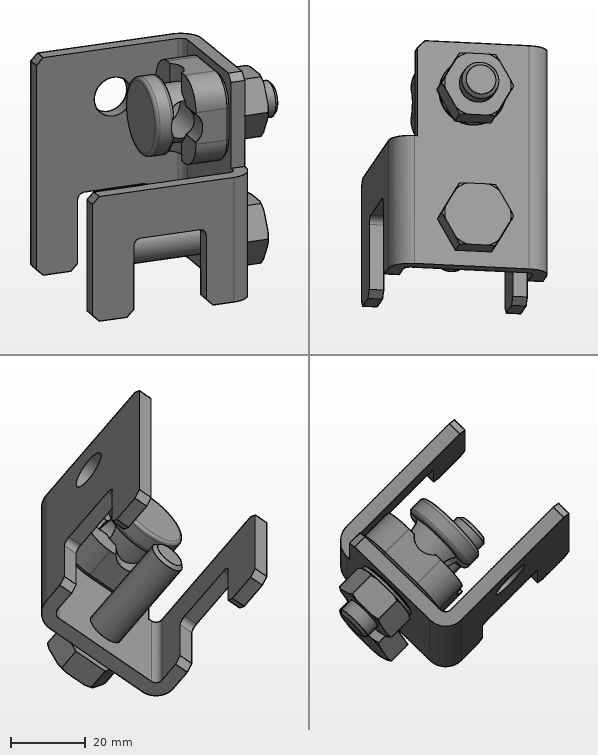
import cadquery as cq
import math

WIDTH = 43.0
HEIGHT = 62.0
DEPTH = 47.0
SHEET = 3.95
INNER_BEND = 2.0
OUTER_BEND = INNER_BEND + SHEET
SHORT_ARM_HEIGHT = 35.5
BACK_EDGE_X = 14.7
CORNER_CHAMFER = 2.0
SLOT_BACK = -14.0
SLOT_WIDTH = 21.0
SLOT_MIDDLE = SLOT_BACK - SLOT_WIDTH / 2
SLOT_HEIGHT = 22.0
SLOT_RADIUS = 2.0
ARM_HOLE_DIAMETER = 11.0
ARM_HOLE_Y = -24.7

SHANK_DIAMETER = 10.05
SHANK_TIP_CHAMFER = 1.0
HEX_SIDES = 6
HEX_FLATS = 17.0
HEX_FACE_DIAMETER = 18.0
HEX_BEVEL_ANGLE = 30.0
HEX_REAR = 9.25

CLAMP_Z = 48.05
SCREW_Z = 11.95

SCREW_HEAD_FRONT = 2.55
SCREW_TIP = -32.25

WASHER_DIAMETER = 18.0
COLLAR_DIAMETER = 16.1
WASHER_BACK = 1.3
COLLAR_DEPTH = 0.4

BLOCK_WIDTH = 28.0
BLOCK_HEIGHT = 25.0
BLOCK_DEPTH = 9.9
BLOCK_RADIUS = 8.0
BLOCK_BACK_CHAMFER = 0.9
GROOVE_RADIUS = 5.0
GROOVE_DEPTH = 2.0
BLOCK_FRONT = -SHEET - BLOCK_DEPTH

BOLT_REAR = 14.0
HEAD_DIAMETER = 21.7
HEAD_FRONT = -24.0
HEAD_THICKNESS = 5.5
HEAD_FILLET = 1.0
HEAD_BACK = HEAD_FRONT + HEAD_THICKNESS
NECK_DIAMETER = 16.25
CROSS_HOLE_DIAMETER = 10.55
CROSS_HOLE_Y = -14.45


def cylinder_y(diameter, y_front, y_back, z):
    """Cylinder along Y."""
    return cq.Workplane("XZ", origin=(0, y_back, z)).circle(diameter / 2).extrude(y_back - y_front)


def cylinder_x(diameter, length, y, z):
    """Cylinder along X, centred on X = 0."""
    return cq.Workplane("YZ", origin=(-length / 2, y, z)).circle(diameter / 2).extrude(length)


def hex_y(y_front, y_back, z):
    """Hexagonal prism along Y, corners toward +X and -X."""
    corner_diameter = HEX_FLATS / math.cos(math.pi / HEX_SIDES)
    outline = cq.Workplane("XZ", origin=(0, y_back, z)).polygon(HEX_SIDES, corner_diameter)
    return outline.extrude(y_back - y_front)


def turned(profile, z):
    """Solid turned about the Y axis through (0, 0, z) from (radius, y) points."""
    return cq.Workplane("XY", origin=(0, 0, z)).polyline(profile).close().revolve(360, (0, 0, 0), (0, 1, 0))


def bevelled_hex(y_front, y_back, z, bevel_front):
    """Hexagonal prism whose corners are turned off by a cone at the back and, if asked, at the front."""
    length = y_back - y_front
    face = HEX_FACE_DIAMETER / 2
    cone_radius = face + length / math.tan(math.radians(HEX_BEVEL_ANGLE))
    back_cone = [(0, y_back), (face, y_back), (cone_radius, y_front), (0, y_front)]
    prism = hex_y(y_front, y_back, z).intersect(turned(back_cone, z))
    if bevel_front:
        front_cone = [(0, y_front), (face, y_front), (cone_radius, y_back), (0, y_back)]
        prism = prism.intersect(turned(front_cone, z))
    return prism


def slot_in_arms():
    """Slot open at the bottom of both arms, with chamfered mouth corners and rounded upper corners."""
    slot = (
        cq.Workplane("YZ", origin=(-WIDTH / 2, SLOT_MIDDLE, 0))
        .rect(SLOT_WIDTH, 2 * SLOT_HEIGHT)
        .extrude(WIDTH)
        .edges("|X and >Z")
        .fillet(SLOT_RADIUS)
    )
    mouth = (
        cq.Workplane("YZ", origin=(-WIDTH / 2, SLOT_MIDDLE, 0))
        .moveTo(-SLOT_WIDTH / 2 - CORNER_CHAMFER, 0)
        .lineTo(SLOT_WIDTH / 2 + CORNER_CHAMFER, 0)
        .lineTo(0, SLOT_WIDTH / 2 + CORNER_CHAMFER)
        .close()
        .extrude(WIDTH)
    )
    return slot.union(mouth)


def u_block(width, y_back, bend_radius):
    """Upright block reaching from y_back to the front of the arms, its rear corners rounded."""
    depth = y_back + DEPTH
    return (
        cq.Workplane("XY", origin=(0, y_back - depth / 2, 0))
        .rect(width, depth)
        .extrude(HEIGHT)
        .edges("|Z and >Y")
        .fillet(bend_radius)
    )


def upper_right_cutout():
    """Space above the short arm, leaving a chamfered top corner on the back plate."""
    return (
        cq.Workplane("XZ")
        .moveTo(WIDTH, SHORT_ARM_HEIGHT)
        .lineTo(BACK_EDGE_X, SHORT_ARM_HEIGHT)
        .lineTo(BACK_EDGE_X, HEIGHT - CORNER_CHAMFER)
        .lineTo(BACK_EDGE_X - CORNER_CHAMFER, HEIGHT)
        .lineTo(WIDTH, HEIGHT)
        .close()
        .extrude(DEPTH)
    )


def make_bracket():
    outside = u_block(WIDTH, 0, OUTER_BEND)
    inside = u_block(WIDTH - 2 * SHEET, -SHEET, INNER_BEND)
    bracket = outside.cut(inside).cut(upper_right_cutout())
    bracket = bracket.edges("|X and <Y").chamfer(CORNER_CHAMFER)
    bracket = bracket.cut(slot_in_arms())
    arm_hole = cylinder_x(ARM_HOLE_DIAMETER, WIDTH, ARM_HOLE_Y, CLAMP_Z)
    bracket = bracket.cut(arm_hole)
    for z in (CLAMP_Z, SCREW_Z):
        bracket = bracket.cut(cylinder_y(SHANK_DIAMETER, -SHEET, 0, z))
    return bracket


def make_screw():
    shank = cylinder_y(SHANK_DIAMETER, SCREW_TIP, SCREW_HEAD_FRONT, SCREW_Z)
    shank = shank.faces("<Y").chamfer(SHANK_TIP_CHAMFER)
    return shank.union(bevelled_hex(SCREW_HEAD_FRONT, HEX_REAR, SCREW_Z, False))


def make_nut():
    nut = bevelled_hex(WASHER_BACK, HEX_REAR, CLAMP_Z, True)
    return nut.cut(cylinder_y(SHANK_DIAMETER, WASHER_BACK, HEX_REAR, CLAMP_Z))


def make_washer():
    bore = SHANK_DIAMETER / 2
    rim = WASHER_DIAMETER / 2
    collar = COLLAR_DIAMETER / 2
    profile = [(bore, 0), (collar, 0), (collar, COLLAR_DEPTH), (rim, COLLAR_DEPTH)]
    profile += [(rim, WASHER_BACK), (bore, WASHER_BACK)]
    return turned(profile, CLAMP_Z)


def make_block():
    block = (
        cq.Workplane("XZ", origin=(0, -SHEET, CLAMP_Z))
        .rect(BLOCK_WIDTH, BLOCK_HEIGHT)
        .extrude(BLOCK_DEPTH)
        .edges("|Y")
        .fillet(BLOCK_RADIUS)
        .faces(">Y")
        .chamfer(BLOCK_BACK_CHAMFER)
    )
    groove_axis_y = BLOCK_FRONT + GROOVE_DEPTH - GROOVE_RADIUS
    upright_groove = cq.Workplane("XY", origin=(0, groove_axis_y, 0)).circle(GROOVE_RADIUS).extrude(HEIGHT)
    level_groove = cylinder_x(2 * GROOVE_RADIUS, WIDTH, groove_axis_y, CLAMP_Z)
    neck_bore = cylinder_y(NECK_DIAMETER, BLOCK_FRONT, -SHEET, CLAMP_Z)
    return block.cut(upright_groove).cut(level_groove).cut(neck_bore)


def make_bolt():
    shank = cylinder_y(SHANK_DIAMETER, -SHEET, BOLT_REAR, CLAMP_Z).faces(">Y").chamfer(SHANK_TIP_CHAMFER)
    neck = cylinder_y(NECK_DIAMETER, HEAD_BACK, -SHEET, CLAMP_Z)
    head = cylinder_y(HEAD_DIAMETER, HEAD_FRONT, HEAD_BACK, CLAMP_Z)
    head = head.faces("<Y or >Y").edges().fillet(HEAD_FILLET)
    cross_hole = cylinder_x(CROSS_HOLE_DIAMETER, HEAD_DIAMETER, CROSS_HOLE_Y, CLAMP_Z)
    return shank.union(neck).union(head).cut(cross_hole)


bracket = make_bracket()
screw = make_screw()
nut = make_nut()
washer = make_washer()
block = make_block()
bolt = make_bolt()

result = cq.Compound.makeCompound(
    [bracket.val(), screw.val(), nut.val(), washer.val(), block.val(), bolt.val()]
)